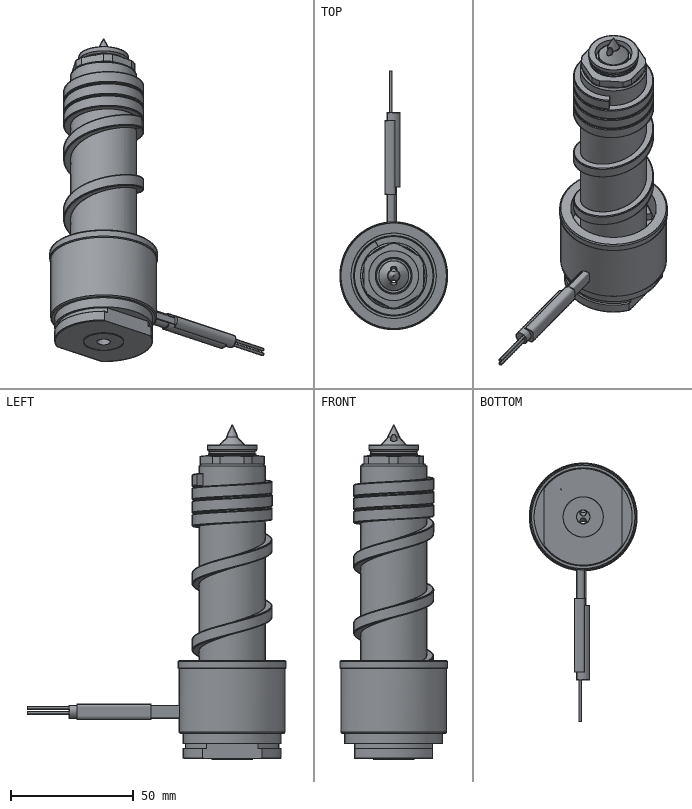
import cadquery as cq
import math

boss_radius = 8.2
boss_height = 0.35
flange_radius = 20.0
flange_top = 4.5
neck_radius = 19.05
neck_top = 6.5
step_top = 10.6
flange_chamfer = 0.3
flat_half_distance = 15.9

shell_radius = 21.6
shell_top = 40.4
rim_radius = 22.0
rim_height = 3.4
rim_edge = 0.39
shell_edge = 0.5
shell_bore_radius = 17.4
shell_floor = 29.4

tube_radius = 13.5
tube_top = 120.4
tube_chamfer = 0.8
hex_across_flats = 24.3
hex_turn = 30.0
hex_corner_radius = 13.1
hex_top = 123.9
hex_slope_height = 0.3

collar_radius = 10.15
collar_top = 128.2
collar_bottom = 126.3
collar_chamfer = 0.7
groove_radius = 9.4
groove_bottom = 124.4
skirt_radius = 9.75
mouth_radius = 7.5
mouth_floor_radius = 7.0
mouth_depth = 2.4

tip_height = 136.3
tip_end_radius = 0.1
point_base_radius = 2.5
point_base_height = 131.4
waist_radius = 2.3
tip_foot_radius = 6.1
tip_foot_height = 127.2
channel_radius = 2.75
channel_top = 127.0
port_radius = 1.3
port_exit_offset = 2.7
port_exit_height = 130.5
port_tilt = 15.0
port_length = 6.0
port_overshoot = 2.0

band_radius = 16.35
band_root = 0.4
band_inner_radius = tube_radius - band_root
band_width = 4.9
band_chamfer = 0.35
wide_pitch = 27.0
tight_pitch = 5.4
tight_end_angle = 118.0
junction_angle = 35.0
junction_height = 94.2
band_sink = 1.5
wide_turns = (junction_height - shell_floor + band_sink) / wide_pitch
tight_full_turns = 3
tight_turns = tight_full_turns + (tight_end_angle - junction_angle) / 360

cable_z = 19.4
cable_left = -2.7
cable_right = 0.6
cable_height = 5.3
cable_left_round = 0.5
cable_right_round = 1.2
cable_end = 34.0
lead_right = 1.2
lead_height = 3.0
sleeve_left = -3.6
sleeve_right = 0.8
sleeve_height = 6.3
sleeve_round = 1.3
sleeve_start = 33.2
sleeve_end = 63.3
core_radius = 2.65
core_start = 36.1
core_end = 66.5
wire_radius = 0.6
wire_x = -1.2
wire_z = 20.0
wire_spacing = 2.05
wire_end = 83.5


def ring(radius, bottom, top):
    """Cylinder on the Z axis between two heights."""
    return cq.Workplane("XY").workplane(offset=bottom).circle(radius).extrude(top - bottom)


def make_base():
    """Stepped foot with two wrench flats below the shell."""
    flange = ring(flange_radius, boss_height, flange_top).faces("<Z").chamfer(flange_chamfer)
    foot = flange.union(ring(neck_radius, flange_top, neck_top))
    foot_box = cq.Workplane("XY").box(
        2 * flat_half_distance, 2 * flange_radius, neck_top, centered=(True, True, False)
    )
    foot = foot.intersect(foot_box)
    foot = foot.union(ring(boss_radius, 0, boss_height))
    return foot.union(ring(flange_radius, neck_top, step_top))


def make_shell():
    """Cup with a slightly wider rim, open at the top round the tube."""
    rim_bottom = shell_top - rim_height
    body = ring(shell_radius, step_top, rim_bottom).faces("<Z").chamfer(shell_edge)
    rim = ring(rim_radius, rim_bottom, shell_top)
    rim = rim.faces(">Z").edges().chamfer(shell_edge)
    rim = rim.faces("<Z").edges().chamfer(rim_edge)
    return body.union(rim).cut(ring(shell_bore_radius, shell_floor, shell_top))


def make_tube():
    """Long round tube with a chamfered upper end."""
    return ring(tube_radius, step_top, tube_top).faces(">Z").chamfer(tube_chamfer)


def make_hexagon():
    """Hexagon with flats across X, corners turned round and top sloping outward."""
    corner_diameter = hex_across_flats / math.cos(math.pi / 6)
    prism = (
        cq.Workplane("XY")
        .workplane(offset=tube_top)
        .transformed(rotate=(0, 0, hex_turn))
        .polygon(6, corner_diameter)
        .extrude(hex_top - tube_top)
    )
    blank = (
        cq.Workplane("XZ")
        .moveTo(0, tube_top)
        .lineTo(hex_corner_radius, tube_top)
        .lineTo(hex_corner_radius, hex_top - hex_slope_height)
        .lineTo(collar_radius, hex_top)
        .lineTo(0, hex_top)
        .close()
        .revolve(360, (0, 0), (0, 1))
    )
    return prism.intersect(blank)


def make_nozzle():
    """Grooved collar, sunken mouth, conical shoulder and sharp point, turned as one outline."""
    mouth_floor = collar_top - mouth_depth
    seat = hex_top - hex_slope_height
    outline = (
        cq.Workplane("XZ")
        .moveTo(0, seat)
        .lineTo(skirt_radius, seat)
        .lineTo(skirt_radius, groove_bottom)
        .lineTo(groove_radius, groove_bottom + (skirt_radius - groove_radius))
        .lineTo(groove_radius, collar_bottom - collar_chamfer)
        .lineTo(collar_radius, collar_bottom)
        .lineTo(collar_radius, collar_top)
        .lineTo(mouth_radius, collar_top)
        .lineTo(mouth_floor_radius, mouth_floor)
        .lineTo(tip_foot_radius, mouth_floor)
        .lineTo(tip_foot_radius, tip_foot_height)
        .lineTo(waist_radius, point_base_height)
        .lineTo(point_base_radius, point_base_height)
        .lineTo(tip_end_radius, tip_height)
        .lineTo(0, tip_height)
        .close()
    )
    return outline.revolve(360, (0, 0), (0, 1))


def make_band_section(turns, pitch, start_angle, start_height):
    """One helical length of band; start_height is its lower edge at start_angle."""
    path = cq.Wire.makeHelix(pitch, turns * pitch, band_radius)
    profile = cq.Workplane("XZ").polyline(
        [
            (band_inner_radius, 0),
            (band_radius - band_chamfer, 0),
            (band_radius, band_chamfer),
            (band_radius, band_width - band_chamfer),
            (band_radius - band_chamfer, band_width),
            (band_inner_radius, band_width),
        ]
    ).close()
    section = profile.sweep(cq.Workplane(path), isFrenet=True)
    return section.rotate((0, 0, 0), (0, 0, 1), start_angle).translate((0, 0, start_height))


def make_band():
    """Wide winding from inside the shell, then a tight winding near the tube top."""
    wide_start_angle = junction_angle - 360 * wide_turns
    wide_start_height = junction_height - wide_pitch * wide_turns
    wide = make_band_section(wide_turns, wide_pitch, wide_start_angle, wide_start_height)
    tight = make_band_section(tight_turns, tight_pitch, junction_angle, junction_height)
    return wide, tight


def bar_along_y(left, right, height, start, end):
    """Rectangular bar parallel to Y, centred on the cable height."""
    return cq.Workplane("XY").box(right - left, end - start, height).translate(
        ((left + right) / 2, (start + end) / 2, cable_z)
    )


def rod_along_y(x, z, radius, start, end):
    """Round rod parallel to Y."""
    return cq.Workplane("XZ", origin=(x, start, z)).circle(radius).extrude(start - end)


def make_cable():
    """Flat cable, narrow lead beside it, rounded sleeve, round core and two wires."""
    cable_start = (shell_bore_radius + shell_radius) / 2
    cable = bar_along_y(cable_left, cable_right, cable_height, cable_start, cable_end)
    cable = cable.edges("|Y and <X").fillet(cable_left_round)
    cable = cable.edges("|Y and >X").fillet(cable_right_round)
    lead = bar_along_y(0, lead_right, lead_height, cable_start, core_start)
    sleeve = bar_along_y(sleeve_left, sleeve_right, sleeve_height, sleeve_start, sleeve_end)
    sleeve = sleeve.edges("|Y").fillet(sleeve_round)
    core = rod_along_y(0, cable_z, core_radius, core_start, core_end)
    cable = cable.union(lead).union(sleeve).union(core)
    for side in (-1, 1):
        height = wire_z + side * wire_spacing / 2
        cable = cable.union(rod_along_y(wire_x, height, wire_radius, core_start, wire_end))
    return cable


def cut_melt_channel(body):
    """Bore from the bottom, split into two ports leaning out beside the point."""
    body = body.cut(ring(channel_radius, 0, channel_top))
    tilt = math.radians(port_tilt)
    for side in (-1, 1):
        direction = cq.Vector(0, side * math.sin(tilt), math.cos(tilt))
        exit_point = cq.Vector(0, side * port_exit_offset, port_exit_height)
        start = exit_point - direction * port_length
        port = cq.Solid.makeCylinder(port_radius, port_length + port_overshoot, start, direction)
        body = body.cut(cq.Workplane(port))
    return body


result = make_base().union(make_shell()).union(make_tube())
result = result.union(make_hexagon()).union(make_nozzle())
result = cut_melt_channel(result)
for band_section in make_band():
    result = result.union(band_section)
result = result.union(make_cable())